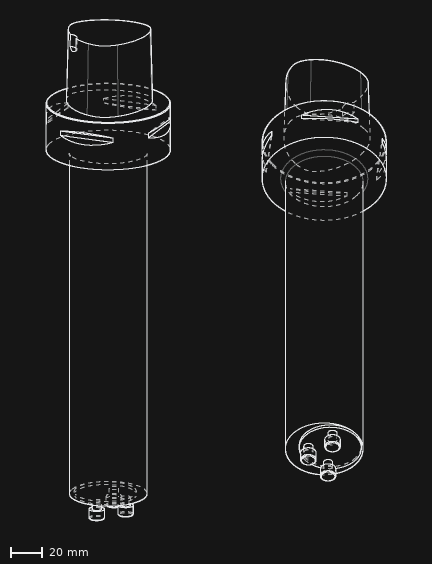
import cadquery as cq
import math

shank_height = 48.0
flange_height = 32.0
bar_end = 265.0
pad_thickness = 2.0
screw_length = 12.0

flange_diameter = 80.0
flange_chamfer = 0.5

groove_count = 4
groove_center_depth = 12.0
groove_floor_distance = 35.6
groove_floor_width = 3.0
groove_flank_angle = 30.0

shank_mean_radius = 27.75
lobe_size = 2.0
lobe_count = 3
lobe_half_angle = 33.2
taper_per_side = 1.0 / 40.0
spans_per_curve = 8

notch_diameter = 13.0
notch_wall_distance = 22.2
notch_wall_height = 8.2
notch_point_angle = 110.0

bar_diameter = 50.0
bar_fillet = 3.0

pad_diameter = 40.0
pad_offset = (pad_diameter - bar_diameter) / 2
screw_spacing = 20.0
screw_diameter = 6.0
screw_head_diameter = 10.0
screw_head_height = 6.5
screw_head_chamfer = 0.6


def lobe_point(angle_degrees, mean_radius):
    """Point of the trilobed curve where its outward normal has the given angle from +Y."""
    angle = math.radians(angle_degrees)
    along = (
        mean_radius * math.cos(angle)
        + 2 * lobe_size * math.cos(2 * angle)
        - lobe_size * math.cos(4 * angle)
    )
    across = (
        mean_radius * math.sin(angle)
        - 2 * lobe_size * math.sin(2 * angle)
        - lobe_size * math.sin(4 * angle)
    )
    return (-across, along)


def lobe_tangent(angle_degrees):
    angle = math.radians(angle_degrees)
    return (-math.cos(angle), -math.sin(angle))


def add_lobe_curve(sketch, start_angle, end_angle, mean_radius):
    """Continue the outline along the trilobed curve between two normal angles."""
    step = (end_angle - start_angle) / spans_per_curve
    points = [
        lobe_point(start_angle + i * step, mean_radius)
        for i in range(1, spans_per_curve + 1)
    ]
    tangents = [lobe_tangent(start_angle), lobe_tangent(end_angle)]
    return sketch.spline(points, tangents=tangents, includeCurrent=True)


def shank_outline(height):
    """Closed shank section at a height: a corner and a flatter side for each lobe."""
    mean_radius = shank_mean_radius - height * taper_per_side
    pitch = 360.0 / lobe_count
    sketch = cq.Workplane("XY", origin=(0, 0, height))
    sketch = sketch.moveTo(*lobe_point(-lobe_half_angle, mean_radius))
    for i in range(lobe_count):
        corner = i * pitch
        corner_end = corner + lobe_half_angle
        side_end = corner + pitch - lobe_half_angle
        sketch = add_lobe_curve(sketch, corner - lobe_half_angle, corner_end, mean_radius)
        sketch = add_lobe_curve(sketch, corner_end, side_end, mean_radius)
    return sketch.wire().val()


def make_shank():
    sections = [shank_outline(0), shank_outline(shank_height)]
    return cq.Workplane(cq.Solid.makeLoft(sections, True))


def make_notch():
    """Cutter for the notch in the -Y side: an upright cylinder ending in a cone."""
    radius = notch_diameter / 2
    shoulder = shank_height - notch_wall_height
    tip = shoulder - radius / math.tan(math.radians(notch_point_angle / 2))
    return (
        cq.Workplane("XZ")
        .moveTo(0, shank_height)
        .lineTo(radius, shank_height)
        .lineTo(radius, shoulder)
        .lineTo(0, tip)
        .close()
        .revolve(360, (0, 0, 0), (0, 1, 0))
        .translate((0, -notch_wall_distance - radius, 0))
    )


def make_flange():
    flange = cq.Workplane("XY").circle(flange_diameter / 2).extrude(-flange_height)
    return flange.faces(">Z").edges().chamfer(flange_chamfer)


def make_groove():
    """Cutter for one straight V groove with a flat floor, on the +X side."""
    flank_run = flange_diameter / 2 - groove_floor_distance
    half_floor = groove_floor_width / 2
    half_mouth = half_floor + flank_run * math.tan(math.radians(groove_flank_angle))
    return (
        cq.Workplane("XZ")
        .moveTo(groove_floor_distance, -half_floor)
        .lineTo(flange_diameter / 2, -half_mouth)
        .lineTo(flange_diameter / 2, half_mouth)
        .lineTo(groove_floor_distance, half_floor)
        .close()
        .extrude(flange_diameter / 2, both=True)
        .translate((0, 0, -groove_center_depth))
    )


def cut_grooves(flange):
    pitch = 360.0 / groove_count
    for i in range(groove_count):
        flange = flange.cut(make_groove().rotate((0, 0, 0), (0, 0, 1), (i + 0.5) * pitch))
    return flange


def make_bar():
    """Bar below the flange, with a concave fillet where it meets the flange."""
    radius = bar_diameter / 2
    return (
        cq.Workplane("XZ")
        .moveTo(0, -flange_height)
        .lineTo(radius + bar_fillet, -flange_height)
        .radiusArc((radius, -flange_height - bar_fillet), -bar_fillet)
        .lineTo(radius, -bar_end)
        .lineTo(0, -bar_end)
        .close()
        .revolve(360, (0, 0, 0), (0, 1, 0))
    )


def make_pad():
    return (
        cq.Workplane("XY", origin=(pad_offset, 0, -bar_end))
        .circle(pad_diameter / 2)
        .extrude(-pad_thickness)
    )


def make_screws():
    """Screws standing out of the pad, heads down, on three corners of a square."""
    half = screw_spacing / 2
    places = [(-half, half), (half, half), (half, -half)]
    pad_face = cq.Workplane("XY", origin=(pad_offset, 0, -bar_end - pad_thickness))
    head_face = pad_face.workplane(offset=screw_head_height - screw_length)
    shafts = pad_face.pushPoints(places).circle(screw_diameter / 2).extrude(-screw_length)
    heads = (
        head_face.pushPoints(places)
        .circle(screw_head_diameter / 2)
        .extrude(-screw_head_height)
        .faces("<Z")
        .edges()
        .chamfer(screw_head_chamfer)
    )
    return shafts.union(heads)


shank = make_shank().cut(make_notch())
flange = cut_grooves(make_flange())
result = shank.union(flange).union(make_bar()).union(make_pad()).union(make_screws())